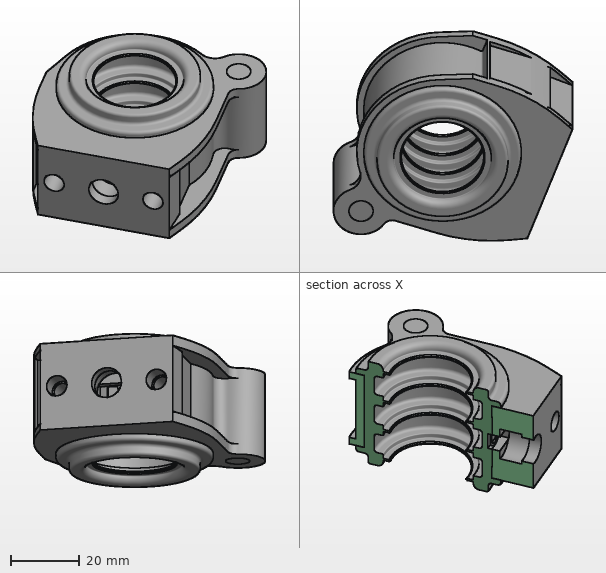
import cadquery as cq
import math

housing_half_height = 13.05
back_radius = 25.1
side_x = 27.0
front_y = -33.35
flank_end_y = -7.5
cheek_radius = 49.15
cheek_drop = 20.95

lug_x = 27.1
lug_y = 15.8
lug_radius = 8.1
lug_back_fillet = 5.0
lug_side_fillet = 3.0
lug_waist_fillet = 3.4
pin_radius = 3.55

waist_radius = 23.1
back_recess_half_height = 10.5
back_recess_end_y = -4.4
back_recess_fillet = 0.5
side_recess_half_height = 9.95
side_rib_rear_x = 20.9
side_rib_rear_y = -25.2
side_wall_x = 19.9
label_half_height = 9.95
label_rear_y = -5.3
label_depth = 1.25
label_floor_x = -(side_x - label_depth)
label_fillet = 1.1
notch_half_height = 11.15
notch_edge_y = -25.2
notch_end_y = -22.1
notch_end_x = -20.9

lock_radius = 4.5
lock_rim_depth = 3.75
lock_chamber_radius = 5.5
lock_depth = 10.6
slot_half_height = 2.5
screw_x = 15.05
screw_radius = 2.5
screw_mouth_radius = 3.05
screw_mouth_depth = 6.85

sleeve_half_height = 18.4
sleeve_radius = 20.2
collar_radius = waist_radius
collar_top_z = 15.05
collar_fillet = 1.0
neck_radius = 19.2
neck_base_fillet = 1.0
neck_top_fillet = 0.8
inner_radius = 14.3
flare_radius = 2.0
cavity_radius = 17.15
cavity_half_height = 3.25
cavity_pitch = 10.4
cavity_corner_fillet = 1.0
cavity_mouth_fillet = 0.3
lip_tip_radius = 12.05
lip_half_thickness = 0.45
lip_chamfer = 0.4
lip_root_fillet = 0.25
wide_flat_x = -3.1
wide_flat_half_height = slot_half_height
wide_flat_y = -19.0
narrow_flat_x = 3.75
narrow_flat_half_height = 1.5
narrow_flat_y = -19.45

reach = 49.75


def prism(sketch, half_height):
    """Extrude a closed sketch equally above and below the middle plane."""
    return sketch.extrude(half_height, both=True)


def polygon(points, half_height):
    return prism(cq.Workplane("XY").polyline(points).close(), half_height)


def disc(x, y, radius, half_height):
    return prism(cq.Workplane("XY").center(x, y).circle(radius), half_height)


def blend_center(round_radius, fillet_radius, side):
    """Centre of a fillet between a round about the bore and the lug; side is +1 behind, -1 in front."""
    to_round = round_radius + fillet_radius
    to_lug = lug_radius + fillet_radius
    spacing = math.hypot(lug_x, lug_y)
    along = (to_round**2 - to_lug**2 + spacing**2) / (2 * spacing)
    across = side * math.sqrt(to_round**2 - along**2)
    return (
        (along * lug_x - across * lug_y) / spacing,
        (along * lug_y + across * lug_x) / spacing,
    )


def web(center, fillet_radius, root, half_height):
    """Material between root, lug centre and fillet centre, hollowed by the fillet."""
    triangle = polygon([root, (lug_x, lug_y), center], half_height)
    return triangle.cut(disc(*center, fillet_radius, half_height))


def cheek_x(drop):
    """Half width of the curved cheek, at a distance drop in front of the straight flank."""
    return side_x - cheek_radius + math.sqrt(cheek_radius**2 - drop**2)


def front_half_width():
    """Half width of the front face, where the cheeks run out along their tangents."""
    end_angle = math.asin(cheek_drop / cheek_radius)
    return cheek_x(cheek_drop) - (flank_end_y - cheek_drop - front_y) * math.tan(end_angle)


def body_blank():
    """Housing without its lug: round back, straight flanks, curved cheeks and flat front."""
    tangent_x = back_radius**2 / side_x
    tangent_y = math.sqrt(back_radius**2 - tangent_x**2)
    front_x = front_half_width()
    mid_x = cheek_x(cheek_drop / 2)
    mid_y = flank_end_y - cheek_drop / 2
    end_x = cheek_x(cheek_drop)
    end_y = flank_end_y - cheek_drop
    sketch = (
        cq.Workplane("XY")
        .moveTo(-tangent_x, tangent_y)
        .lineTo(-side_x, 0)
        .lineTo(-side_x, flank_end_y)
        .threePointArc((-mid_x, mid_y), (-end_x, end_y))
        .lineTo(-front_x, front_y)
        .lineTo(front_x, front_y)
        .lineTo(end_x, end_y)
        .threePointArc((mid_x, mid_y), (side_x, flank_end_y))
        .lineTo(side_x, 0)
        .lineTo(tangent_x, tangent_y)
        .threePointArc((0, back_radius), (-tangent_x, tangent_y))
        .close()
    )
    return prism(sketch, housing_half_height)


def housing_blank():
    lug = disc(lug_x, lug_y, lug_radius, housing_half_height)
    back_center = blend_center(back_radius, lug_back_fillet, 1)
    back_web = web(back_center, lug_back_fillet, (0, 0), housing_half_height)
    side_center_x = side_x + lug_side_fillet
    to_lug = lug_radius + lug_side_fillet
    side_center_y = lug_y - math.sqrt(to_lug**2 - (side_center_x - lug_x) ** 2)
    side_center = (side_center_x, side_center_y)
    side_web = web(side_center, lug_side_fillet, (side_x, side_center_y), housing_half_height)
    bridge = polygon(
        [(0, 0), (side_x, 0), (side_x, side_center_y), (lug_x, lug_y)], housing_half_height
    )
    return body_blank().union(bridge).union(lug).union(back_web).union(side_web)


def waist_core(half_height):
    """Round wall and lug that stay between the flanges."""
    core = disc(0, 0, waist_radius, half_height).union(disc(lug_x, lug_y, lug_radius, half_height))
    for side in (1, -1):
        center = blend_center(waist_radius, lug_waist_fillet, side)
        core = core.union(web(center, lug_waist_fillet, (0, 0), half_height))
    return core


def back_recess():
    """Wraps the left flank and the back, up to the lug."""
    lug_ray = (reach, reach * lug_y / lug_x)
    field = polygon(
        [(0, 0), lug_ray, (reach, reach), (-reach, reach), (-reach, back_recess_end_y),
         (0, back_recess_end_y)],
        back_recess_half_height,
    )
    corner_x = -math.sqrt(waist_radius**2 - back_recess_end_y**2)
    corner = cq.selectors.NearestToPointSelector((corner_x, back_recess_end_y, 0))
    return field.cut(waist_core(back_recess_half_height)).edges(corner).fillet(back_recess_fillet)


def side_recess():
    """Runs along the right flank, from the lug to a rib behind the front face."""
    lug_ray = (reach, reach * lug_y / lug_x)
    wall_meets_waist_y = -math.sqrt(waist_radius**2 - side_wall_x**2)
    field = polygon(
        [(0, 0), lug_ray, (reach, front_y), (front_half_width(), front_y),
         (side_rib_rear_x, side_rib_rear_y), (side_wall_x, side_rib_rear_y),
         (side_wall_x, wall_meets_waist_y)],
        side_recess_half_height,
    )
    return field.cut(waist_core(side_recess_half_height))


def label_recess():
    """Flat-floored pocket in the left flank that runs out in the curved cheek."""
    field = polygon(
        [(label_floor_x, label_rear_y), (-reach, label_rear_y), (-reach, notch_edge_y),
         (label_floor_x, notch_edge_y)],
        label_half_height,
    )
    corner = cq.selectors.NearestToPointSelector((label_floor_x, label_rear_y, 0))
    return field.edges(corner).fillet(label_fillet)


def cheek_notch():
    """Slot behind the left end of the front face that reaches under the edge of the cheek."""
    edge_x = -cheek_x(flank_end_y - notch_edge_y)
    return polygon(
        [(-front_half_width(), front_y), (notch_end_x, notch_end_y), (edge_x, notch_end_y),
         (edge_x, notch_edge_y), (-reach, notch_edge_y), (-reach, front_y)],
        notch_half_height,
    )


def front_drill(x, radius, start_depth, end_depth):
    """Cylinder along Y, between two depths below the front face."""
    plane = cq.Workplane("XZ", origin=(x, front_y + start_depth, 0))
    return plane.circle(radius).extrude(start_depth - end_depth)


def lock_hole():
    """Hole with a narrower rim, and a slot in its floor that opens into the bore."""
    rim = front_drill(0, lock_radius, 0, lock_depth)
    chamber = front_drill(0, lock_chamber_radius, lock_rim_depth, lock_depth)
    floor_y = front_y + lock_depth
    slot = polygon(
        [(-lock_chamber_radius, floor_y), (lock_chamber_radius, floor_y),
         (lock_chamber_radius, 0), (-lock_chamber_radius, 0)],
        slot_half_height,
    )
    return rim.union(chamber).union(slot)


def make_housing():
    housing = housing_blank()
    for recess in (back_recess(), side_recess(), label_recess(), cheek_notch(), lock_hole()):
        housing = housing.cut(recess)
    for x in (-screw_x, screw_x):
        housing = housing.cut(front_drill(x, screw_mouth_radius, 0, screw_mouth_depth))
        housing = housing.cut(front_drill(x, screw_radius, 0, -front_y))
    housing = housing.cut(disc(0, 0, sleeve_radius, housing_half_height))
    return housing.cut(disc(lug_x, lug_y, pin_radius, housing_half_height))


def rounded_profile(corners):
    """Closed radial section from (radius, z, fillet) corners, the first of them sharp."""
    sketch = cq.Workplane("XZ").moveTo(*corners[0][:2])
    for index, (x, z, fillet) in enumerate(corners):
        corner = cq.Vector(x, z, 0)
        before = cq.Vector(*corners[index - 1][:2], 0)
        after = cq.Vector(*corners[(index + 1) % len(corners)][:2], 0)
        arc_start = corner + (before - corner).normalized() * fillet
        arc_end = corner + (after - corner).normalized() * fillet
        center = arc_start + arc_end - corner
        if index:
            sketch = sketch.lineTo(arc_start.x, arc_start.y)
        if fillet:
            arc_mid = center + (corner - center).normalized() * fillet
            sketch = sketch.threePointArc((arc_mid.x, arc_mid.y), (arc_end.x, arc_end.y))
    return sketch.close()


def lip_corners(z):
    """Thin wiping lip with a chamfered tip, centred at height z."""
    root_radius = lip_tip_radius + lip_chamfer
    tip_half_thickness = lip_half_thickness - lip_chamfer
    return [
        (inner_radius, z + lip_half_thickness, lip_root_fillet),
        (root_radius, z + lip_half_thickness, 0),
        (lip_tip_radius, z + tip_half_thickness, 0),
        (lip_tip_radius, z - tip_half_thickness, 0),
        (root_radius, z - lip_half_thickness, 0),
        (inner_radius, z - lip_half_thickness, lip_root_fillet),
    ]


def sleeve_corners():
    """Section corners above the middle plane, from the outside over the top to the inside."""
    return [
        (sleeve_radius, housing_half_height, 0),
        (collar_radius, housing_half_height, 0),
        (collar_radius, collar_top_z, collar_fillet),
        (neck_radius, collar_top_z, neck_base_fillet),
        (neck_radius, sleeve_half_height, neck_top_fillet),
        (inner_radius, sleeve_half_height, flare_radius),
        *lip_corners(1.5 * cavity_pitch),
        (inner_radius, cavity_pitch + cavity_half_height, cavity_mouth_fillet),
        (cavity_radius, cavity_pitch + cavity_half_height, cavity_corner_fillet),
        (cavity_radius, cavity_pitch - cavity_half_height, cavity_corner_fillet),
        (inner_radius, cavity_pitch - cavity_half_height, cavity_mouth_fillet),
        *lip_corners(0.5 * cavity_pitch),
        (inner_radius, cavity_half_height, cavity_mouth_fillet),
        (cavity_radius, cavity_half_height, cavity_corner_fillet),
    ]


def flat_cut(end_x, floor_y, half_height):
    """Flat-floored cut into the front of the sleeve, between the middle and end_x."""
    return polygon(
        [(0, floor_y), (end_x, floor_y), (end_x, -sleeve_radius), (0, -sleeve_radius)],
        half_height,
    )


def make_sleeve():
    upper = sleeve_corners()
    lower = [(x, -z, fillet) for x, z, fillet in reversed(upper)]
    sleeve = rounded_profile(upper + lower).revolve(360, (0, 0, 0), (0, 1, 0))
    sleeve = sleeve.cut(flat_cut(wide_flat_x, wide_flat_y, wide_flat_half_height))
    return sleeve.cut(flat_cut(narrow_flat_x, narrow_flat_y, narrow_flat_half_height))


def make_pin():
    return disc(lug_x, lug_y, pin_radius, housing_half_height)


housing = make_housing()
sleeve = make_sleeve()
pin = make_pin()
result = cq.Compound.makeCompound([housing.val(), sleeve.val(), pin.val()])